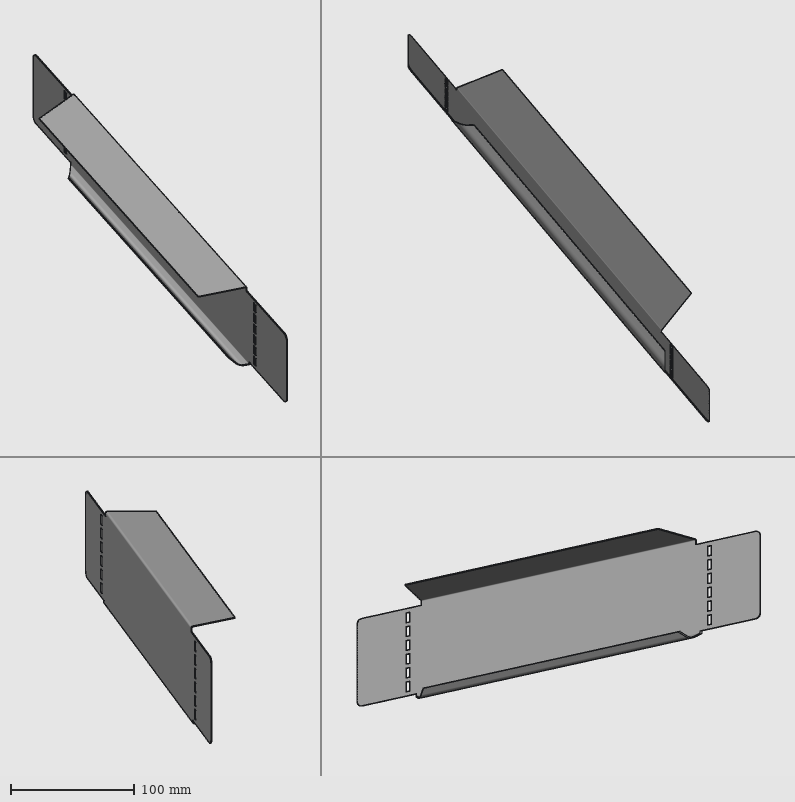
import cadquery as cq
import math

length = 395.0
depth = 40.0
height = 86.0
sheet = 1.0

wall_height = 75.0
wall_bottom = 6.5
wall_mid_height = wall_bottom + wall_height / 2
tab_corner = 4.7

flange_root_length = 269.5
flange_tip_length = 248.0
bend_inner_radius = 0.8
bend_outer_radius = bend_inner_radius + sheet

lip_root_length = 280.5
lip_tip_length = 249.5
lip_depth = 12.0
lip_valley_depth = 6.0
lip_slope = math.radians(43)
valley_inner_radius = 2.5
valley_outer_radius = valley_inner_radius + sheet

slot_width = 3.5
slot_height = 8.3
slot_pitch = 12.0
slots_per_row = 6
slot_row_offset = 147.7


def extrude_profile(points, width):
    """Extrude a (y, z) outline symmetrically about x = 0."""
    return cq.Workplane("YZ").polyline(points).close().extrude(width / 2, both=True)


def tapered_blank(root_length, tip_length, reach):
    """Block whose plan is a trapezoid, long side on the wall."""
    outline = [
        (-root_length / 2, 0),
        (root_length / 2, 0),
        (tip_length / 2, -reach),
        (-tip_length / 2, -reach),
    ]
    return cq.Workplane("XY").polyline(outline).close().extrude(height)


def bend_edge(y, z):
    """Selector for the bend edge along X nearest to (y, z)."""
    return cq.selectors.NearestToPointSelector((0, y, z))


def make_wall():
    wall = (
        cq.Workplane("XY")
        .box(length, sheet, wall_height)
        .translate((0, -sheet / 2, wall_mid_height))
        .edges("|Y")
        .fillet(tab_corner)
    )
    slot_places = [
        (side * slot_row_offset, (row - (slots_per_row - 1) / 2) * slot_pitch)
        for side in (-1, 1)
        for row in range(slots_per_row)
    ]
    slots = (
        cq.Workplane("XZ", origin=(0, 0, wall_mid_height))
        .pushPoints(slot_places)
        .rect(slot_width, slot_height)
        .extrude(sheet)
    )
    return wall.cut(slots)


def make_flange():
    outline = [
        (0, wall_mid_height),
        (0, height),
        (-depth, height),
        (-depth, height - sheet),
        (-sheet, height - sheet),
        (-sheet, wall_mid_height),
    ]
    angle = extrude_profile(outline, flange_root_length)
    angle = angle.edges(bend_edge(0, height)).fillet(bend_outer_radius)
    angle = angle.edges(bend_edge(-sheet, height - sheet)).fillet(bend_inner_radius)
    return angle.intersect(tapered_blank(flange_root_length, flange_tip_length, depth))


def make_lip():
    slope_cos = math.cos(lip_slope)
    slope_sin = math.sin(lip_slope)
    valley_z = valley_outer_radius * (1 - slope_cos - slope_sin)
    inner_valley_depth = lip_valley_depth - sheet * (slope_cos - slope_sin)
    inner_valley_z = valley_z + sheet * (slope_cos + slope_sin)
    outer_bend_z = valley_z + lip_valley_depth * math.tan(lip_slope)
    inner_bend_z = inner_valley_z + (inner_valley_depth - sheet) * math.tan(lip_slope)
    outer_tip_z = valley_z + (lip_depth - lip_valley_depth) / math.tan(lip_slope)
    outline = [
        (0, wall_mid_height),
        (0, outer_bend_z),
        (-lip_valley_depth, valley_z),
        (-lip_depth, outer_tip_z),
        (-lip_depth + sheet * slope_cos, outer_tip_z + sheet * slope_sin),
        (-inner_valley_depth, inner_valley_z),
        (-sheet, inner_bend_z),
        (-sheet, wall_mid_height),
    ]
    lip = extrude_profile(outline, lip_root_length)
    lip = lip.edges(bend_edge(-lip_valley_depth, valley_z)).fillet(valley_outer_radius)
    lip = lip.edges(bend_edge(-inner_valley_depth, inner_valley_z)).fillet(valley_inner_radius)
    lip = lip.edges(bend_edge(0, outer_bend_z)).fillet(bend_outer_radius)
    lip = lip.edges(bend_edge(-sheet, inner_bend_z)).fillet(bend_inner_radius)
    return lip.intersect(tapered_blank(lip_root_length, lip_tip_length, lip_depth))


result = make_wall().union(make_flange()).union(make_lip()).clean()